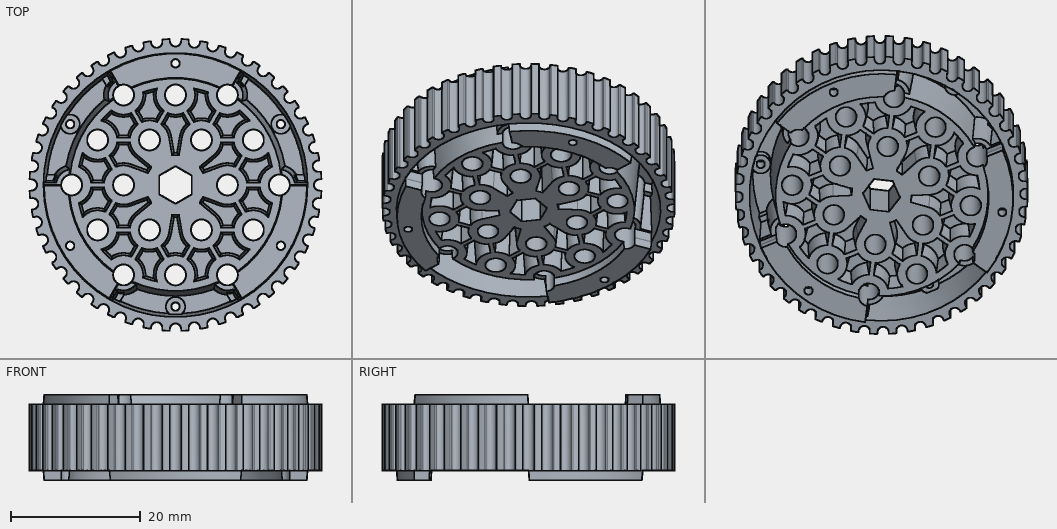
import cadquery as cq
import math

tip_radius = 22.5
height = 13.2
tab_height = 1.5
face_z = height / 2 - tab_height
shallow_draft = math.radians(3)
steep_draft = math.radians(4.5)

tooth_count = 48
groove_radius = 0.85
groove_root_radius = 21.35
tooth_corner_radius = 0.15

hole_pitch = 8.0
hole_diameter = 3.2
hex_across_flats = 5.0
near_hole_radius = hole_pitch
middle_hole_radius = hole_pitch * math.sqrt(3)
far_hole_radius = 2 * hole_pitch

ring_radius = 3.0
rib_thickness = 0.7
web_radius = 15.15
membrane_thickness = 0.55
slot_end_radius = 4.6
slot_end_width = 1.1

sector_angle = 60
tab_inner_radius = 16.4
channel_inner_radius = 16.3
channel_outer_radius = 20.35
channel_floor_z = -face_z
ledge_z = 3.35
ledge_width = 0.3
hole_wall_radius = 2.4
step_width = 1.55
step_z = -ledge_z
screw_hole_diameter = 1.25
screw_radius = 18.75
screw_boss_radius = 1.5


def polar(radius, degrees):
    angle = math.radians(degrees)
    return (radius * math.cos(angle), radius * math.sin(angle))


def shifted(point, distance, degrees):
    step = polar(distance, degrees)
    return (point[0] + step[0], point[1] + step[1])


def direction(start, end):
    return math.degrees(math.atan2(end[1] - start[1], end[0] - start[0]))


def mirrored(point):
    return (point[0], -point[1])


def turned(point, degrees):
    return polar(math.hypot(*point), direction((0, 0), point) + degrees)


def arc_middle(center, start, end):
    """Midpoint of the shorter arc about center from start to end."""
    start_angle = direction(center, start)
    sweep = (direction(center, end) - start_angle + 180) % 360 - 180
    return shifted(center, math.dist(center, start), start_angle + sweep / 2)


def spun(shape, degrees):
    return shape.rotate((0, 0, 0), (0, 0, 1), degrees)


def flipped(shape):
    """Turn a feature of the upper side over to the lower side."""
    return shape.rotate((0, 0, 0), (1, 0, 0), 180)


def toothed_band():
    """Disc whose rim has round-bottomed grooves with straight flanks and rounded tooth corners."""
    pitch_angle = 360 / tooth_count
    groove_center = groove_root_radius + groove_radius
    corner_y = groove_radius + tooth_corner_radius
    corner = (math.sqrt((tip_radius - tooth_corner_radius) ** 2 - corner_y ** 2), corner_y)

    bottom_end = (groove_center, groove_radius)
    flank_end = (corner[0], groove_radius)
    tip_start = polar(tip_radius, direction((0, 0), corner))
    corner_middle = arc_middle(corner, flank_end, tip_start)

    outline = cq.Workplane("XY", origin=(0, 0, -face_z)).moveTo(*mirrored(tip_start))
    for tooth in range(tooth_count):
        angle = tooth * pitch_angle
        outline = (
            outline
            .threePointArc(turned(mirrored(corner_middle), angle), turned(mirrored(flank_end), angle))
            .lineTo(*turned(mirrored(bottom_end), angle))
            .threePointArc(polar(groove_root_radius, angle), turned(bottom_end, angle))
            .lineTo(*turned(flank_end, angle))
            .threePointArc(turned(corner_middle, angle), turned(tip_start, angle))
            .threePointArc(
                polar(tip_radius, angle + pitch_angle / 2),
                turned(mirrored(tip_start), angle + pitch_angle),
            )
        )
    return outline.close().extrude(2 * face_z)


def annular_sector(profile):
    """Revolve an (r, z) profile over the sector that starts at angle 0."""
    return cq.Workplane("XZ").polyline(profile).close().revolve(sector_angle, (0, 0), (0, 1))


def border_clearance():
    """Wedge along the border at angle 0 that gives the end of a tab its draft."""
    lean = tab_height * math.tan(steep_draft)
    profile = [(0, face_z), (-lean, height / 2), (lean, height / 2)]
    return cq.Workplane("YZ").polyline(profile).close().extrude(tip_radius)


def tab():
    lean = tab_height * math.tan(steep_draft)
    ring = annular_sector([
        (tab_inner_radius, face_z),
        (channel_outer_radius, face_z),
        (channel_outer_radius - lean, height / 2),
        (tab_inner_radius + lean, height / 2),
    ])
    clearance = border_clearance()
    return ring.cut(clearance).cut(spun(clearance, sector_angle))


def border_wall():
    """Drafted wall along the border at angle 0, with a wall around its hole and a step at its foot."""
    drop = ledge_z - channel_floor_z
    foot_width = ledge_width + drop * math.tan(shallow_draft)
    wall_profile = [
        (-foot_width, channel_floor_z),
        (-ledge_width, ledge_z),
        (ledge_width, ledge_z),
        (foot_width, channel_floor_z),
    ]
    wall = cq.Workplane("YZ").polyline(wall_profile).close().extrude(tip_radius)
    step = (
        cq.Workplane("XY", origin=(0, 0, channel_floor_z))
        .rect(2 * tip_radius, 2 * step_width)
        .extrude(step_z - channel_floor_z)
    )
    hole_wall = (
        cq.Workplane("XY", origin=(far_hole_radius, 0, ledge_z))
        .circle(hole_wall_radius)
        .extrude(-drop, taper=-math.degrees(steep_draft))
    )
    return wall.union(step).union(hole_wall)


def channel():
    """Deep channel between two tabs, cut from the end face into the tab on the far side."""
    depth = face_z - channel_floor_z
    ring = annular_sector([
        (channel_inner_radius, face_z),
        (channel_outer_radius, face_z),
        (channel_outer_radius - depth * math.tan(shallow_draft), channel_floor_z),
        (channel_inner_radius + depth * math.tan(steep_draft), channel_floor_z),
    ])
    screw_boss = (
        cq.Workplane("XY", origin=(*polar(screw_radius, sector_angle / 2), channel_floor_z))
        .circle(screw_boss_radius)
        .extrude(step_z - channel_floor_z)
    )
    wall = border_wall()
    return ring.cut(wall).cut(spun(wall, sector_angle)).cut(screw_boss)


def rib_corner(hole, toward, side):
    """Point where the rib from hole to toward leaves the ring, on its left (1) or right (-1)."""
    half_thickness = rib_thickness / 2
    along_rib = math.sqrt(ring_radius ** 2 - half_thickness ** 2)
    heading = direction(hole, toward)
    return shifted(shifted(hole, along_rib, heading), half_thickness, heading + 90 * side)


def rim_corner(hole, side):
    """Point where a hole's ring meets the rim of the web, counterclockwise (1) or clockwise (-1)."""
    hole_distance = math.hypot(*hole)
    cosine = (web_radius ** 2 + hole_distance ** 2 - ring_radius ** 2) / (2 * web_radius * hole_distance)
    return polar(web_radius, direction((0, 0), hole) + side * math.degrees(math.acos(cosine)))


def web_pocket(outline):
    depth = face_z - membrane_thickness / 2
    return outline.close().extrude(-depth, taper=math.degrees(steep_draft))


def rim_pocket():
    """Pocket between a near, a far and a middle hole and the rim of the web."""
    near = (near_hole_radius, 0)
    far = (far_hole_radius, 0)
    middle = polar(middle_hole_radius, 30)

    near_start = rib_corner(near, far, 1)
    far_start = rib_corner(far, near, -1)
    far_end = rim_corner(far, 1)
    middle_start = rim_corner(middle, -1)
    middle_end = rib_corner(middle, near, 1)
    near_end = rib_corner(near, middle, -1)
    outline = (
        cq.Workplane("XY", origin=(0, 0, face_z))
        .moveTo(*near_start)
        .lineTo(*far_start)
        .threePointArc(arc_middle(far, far_start, far_end), far_end)
        .threePointArc(arc_middle((0, 0), far_end, middle_start), middle_start)
        .threePointArc(arc_middle(middle, middle_start, middle_end), middle_end)
        .lineTo(*near_end)
        .threePointArc(arc_middle(near, near_end, near_start), near_start)
    )
    return web_pocket(outline)


def spoke_pocket():
    """Pocket that narrows toward the bore between two near holes, symmetric about the X axis."""
    near = polar(near_hole_radius, 30)
    middle = (middle_hole_radius, 0)

    slot_end = (slot_end_radius, slot_end_width / 2)
    reach = math.dist(slot_end, near)
    tangent_heading = direction(slot_end, near) - math.degrees(math.asin(ring_radius / reach))
    near_end = shifted(slot_end, math.sqrt(reach ** 2 - ring_radius ** 2), tangent_heading)
    near_start = rib_corner(near, middle, -1)
    near_arc = arc_middle(near, near_start, near_end)
    middle_end = rib_corner(middle, near, 1)
    outline = (
        cq.Workplane("XY", origin=(0, 0, face_z))
        .moveTo(*mirrored(slot_end))
        .lineTo(*mirrored(near_end))
        .threePointArc(mirrored(near_arc), mirrored(near_start))
        .lineTo(*mirrored(middle_end))
        .threePointArc((middle_hole_radius - ring_radius, 0), middle_end)
        .lineTo(*near_start)
        .threePointArc(near_arc, near_end)
        .lineTo(*slot_end)
    )
    return web_pocket(outline)


def hole_cutters(radius, first_angle, diameter):
    """Six through holes evenly spaced on a circle."""
    base = cq.Workplane("XY", origin=(0, 0, -height / 2))
    return base.polarArray(radius, first_angle, 360, 6).circle(diameter / 2).extrude(height)


def hex_bore():
    corner_diameter = hex_across_flats / math.cos(math.radians(30))
    bore = cq.Workplane("XY", origin=(0, 0, -height / 2)).polygon(6, corner_diameter).extrude(height)
    return spun(bore, 30)


body = toothed_band()

tab_shape = tab()
channel_shape = channel()
for start in range(0, 360, 2 * sector_angle):
    channel_here = spun(channel_shape, start)
    tab_here = spun(tab_shape, start + sector_angle)
    body = body.union(tab_here).union(flipped(tab_here))
    body = body.cut(channel_here).cut(flipped(channel_here))

rim_shape = rim_pocket()
pocket_shapes = (rim_shape, rim_shape.mirror("XZ"), spun(spoke_pocket(), 30))
for turn in range(0, 360, 60):
    for pocket_shape in pocket_shapes:
        pocket_here = spun(pocket_shape, turn)
        body = body.cut(pocket_here).cut(flipped(pocket_here))

body = body.cut(hole_cutters(near_hole_radius, 0, hole_diameter))
body = body.cut(hole_cutters(middle_hole_radius, 30, hole_diameter))
body = body.cut(hole_cutters(far_hole_radius, 0, hole_diameter))
body = body.cut(hole_cutters(screw_radius, 30, screw_hole_diameter))

result = body.cut(hex_bore())